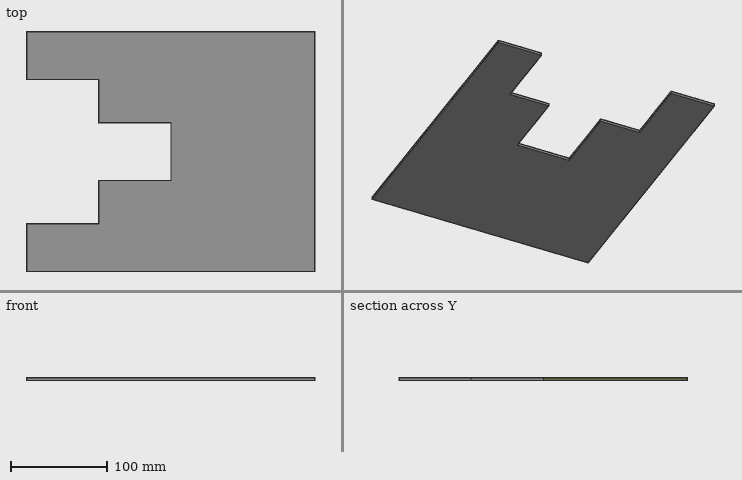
import cadquery as cq

length = 300.0
width = 250.0
thickness = 3.0

outer_notch_width = 150.0
outer_notch_depth = length / 4
inner_notch_width = 60.0
inner_notch_depth = length / 2


def edge_notch(depth, notch_width):
    """Rectangular through cutter reaching inward from the -X edge."""
    return (
        cq.Workplane("XY")
        .box(depth, notch_width, thickness)
        .translate(((depth - length) / 2, 0, 0))
    )


plate = cq.Workplane("XY").box(length, width, thickness)
outer_notch = edge_notch(outer_notch_depth, outer_notch_width)
inner_notch = edge_notch(inner_notch_depth, inner_notch_width)

result = plate.cut(outer_notch).cut(inner_notch)